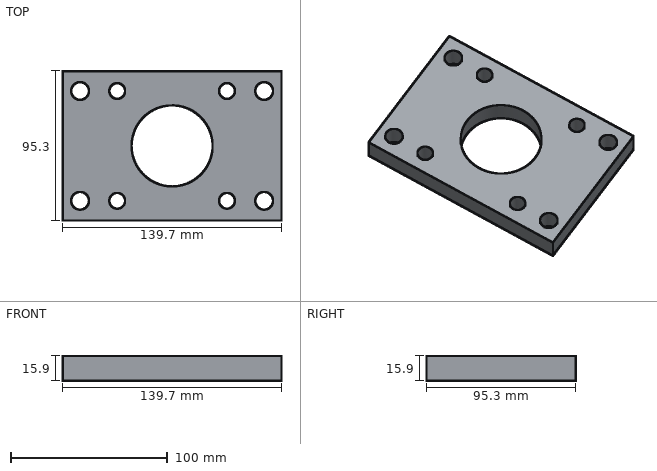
import cadquery as cq

length = 139.7
width = 95.3
thickness = 15.9

bore_diameter = 51.5

inner_spacing = 70.0
inner_hole_diameter = 9.9
outer_spacing_x = 117.3
outer_hole_diameter = 11.2


def drill_corner_holes(body, spacing_x, spacing_y, diameter):
    """Drill four through holes at the corners of a centred rectangle."""
    return (
        body.faces(">Z")
        .workplane()
        .rect(spacing_x, spacing_y, forConstruction=True)
        .vertices()
        .hole(diameter)
    )


plate = cq.Workplane("XY").box(length, width, thickness)
plate = plate.faces(">Z").workplane().hole(bore_diameter)
plate = drill_corner_holes(plate, inner_spacing, inner_spacing, inner_hole_diameter)
plate = drill_corner_holes(plate, outer_spacing_x, inner_spacing, outer_hole_diameter)

result = plate